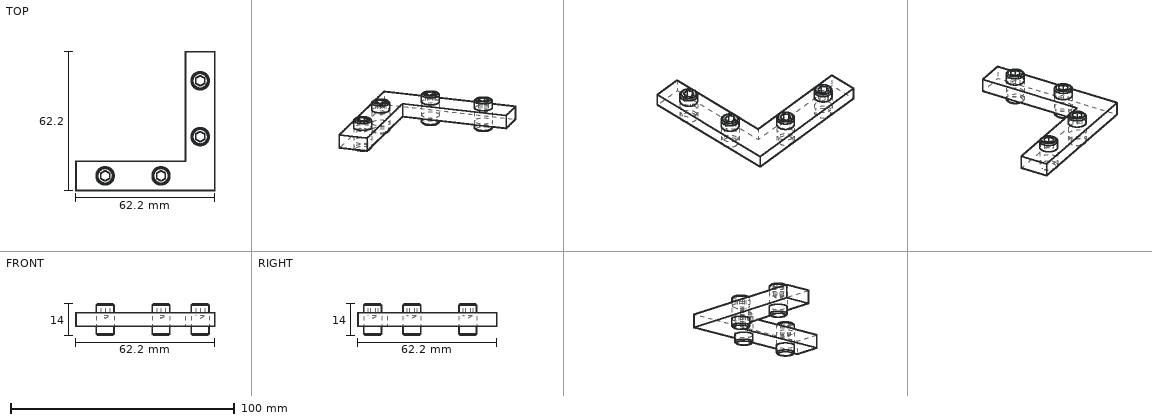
import cadquery as cq
import math

leg_length = 62.2
leg_width = 13.2
plate_thickness = 6.15

screw_diameter = 8.0
screw_length = 14.0
screw_chamfer = 0.7

socket_across_flats = 4.0
socket_depth = 5.0
socket_cone_angle = 120.0

near_screw_distance = 24.15
screw_spacing = 25.0
screw_distances = [near_screw_distance, near_screw_distance + screw_spacing]

screw_inset = leg_width / 2
screw_centers = [(leg_length - distance, screw_inset) for distance in screw_distances]
screw_centers += [(leg_length - screw_inset, distance) for distance in screw_distances]


def make_plate():
    """L-shaped plate, centred on Z = 0, with a through hole for each screw."""
    inner_x = leg_length - leg_width
    outline = [
        (0, 0),
        (leg_length, 0),
        (leg_length, leg_length),
        (inner_x, leg_length),
        (inner_x, leg_width),
        (0, leg_width),
    ]
    plate = cq.Workplane("XY").polyline(outline).close().extrude(plate_thickness / 2, both=True)
    holes = (
        cq.Workplane("XY")
        .pushPoints(screw_centers)
        .circle(screw_diameter / 2)
        .extrude(plate_thickness, both=True)
    )
    return plate.cut(holes)


def make_socket():
    """Hexagonal recess ending in a cone, shaped as a hexagon trimmed by a pointed cylinder."""
    corner_radius = socket_across_flats / math.sqrt(3)
    cone_height = corner_radius / math.tan(math.radians(socket_cone_angle / 2))
    top = screw_length / 2
    rim = top - socket_depth
    tip = rim - cone_height
    hexagon = (
        cq.Workplane("XY", origin=(0, 0, tip))
        .polygon(6, 2 * corner_radius)
        .extrude(top - tip)
        .rotate((0, 0, 0), (0, 0, 1), 30)
    )
    pointed_cylinder = (
        cq.Workplane("XZ")
        .polyline([(0, tip), (corner_radius, rim), (corner_radius, top), (0, top)])
        .close()
        .revolve(360, (0, 0), (0, 1))
    )
    return hexagon.intersect(pointed_cylinder)


def make_screw(center):
    """Headless screw, chamfered at both ends, with a hexagon socket on top."""
    x, y = center
    screw = (
        cq.Workplane("XY")
        .circle(screw_diameter / 2)
        .extrude(screw_length / 2, both=True)
        .faces("|Z")
        .chamfer(screw_chamfer)
    )
    return screw.cut(make_socket()).translate((x, y, 0))


plate = make_plate()
screws = [make_screw(center) for center in screw_centers]

result = cq.Compound.makeCompound([plate.solids().val(), *[screw.solids().val() for screw in screws]])